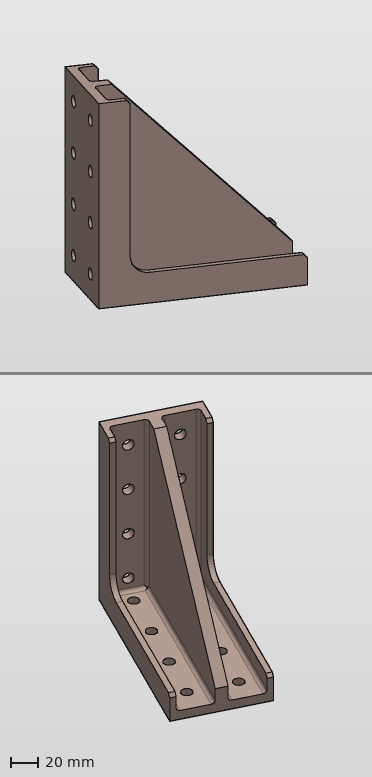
import cadquery as cq

width = 80.0
leg_length = 160.0
tip_height = 21.3

plate_thickness = 8.0
pocket_width = 30.0
pocket_fillet = 3.0

flange_depth = 24.0
flange_corner_radius = 15.0

hole_diameter = 9.0
hole_pitch = 40.0
hole_rows = 4

column_centers = (-hole_pitch / 2, hole_pitch / 2)
first_hole = (leg_length - (hole_rows - 1) * hole_pitch) / 2
row_centers = [first_hole + row * hole_pitch for row in range(hole_rows)]
flange_width = (width - hole_pitch - pocket_width) / 2


def triangular_body():
    """Solid gusset block with both plates on the Y = 0 and Z = 0 planes."""
    return (
        cq.Workplane("YZ")
        .moveTo(0, 0)
        .lineTo(leg_length, 0)
        .lineTo(leg_length, tip_height)
        .lineTo(tip_height, leg_length)
        .lineTo(0, leg_length)
        .close()
        .extrude(width / 2, both=True)
    )


def rounded_block(edge_direction):
    """Pocket-sized block whose edges along one direction are rounded."""
    return (
        cq.Workplane("XY")
        .box(pocket_width, leg_length, leg_length, centered=(True, False, False))
        .edges(edge_direction)
        .fillet(pocket_fillet)
    )


def pocket(x_center):
    """Block with rounded edges and mitred corners; it runs out past the leg tips."""
    block = rounded_block("|X").intersect(rounded_block("|Y")).intersect(rounded_block("|Z"))
    return block.translate((x_center, plate_thickness, plate_thickness))


def flange_cutout(side):
    """Block that lowers one outer flange (side is -1 or 1) to its L shape."""
    x_center = side * (width - flange_width) / 2
    return (
        cq.Workplane("XY")
        .box(flange_width, leg_length, leg_length, centered=(True, False, False))
        .edges("|X and <Y and <Z")
        .fillet(flange_corner_radius)
        .translate((x_center, flange_depth, flange_depth))
    )


def plate_holes(plane, direction):
    """Hole pattern through one plate, with rows measured from the bracket corner."""
    centers = [(x, row) for x in column_centers for row in row_centers]
    return (
        cq.Workplane(plane)
        .pushPoints(centers)
        .circle(hole_diameter / 2)
        .extrude(direction * plate_thickness)
    )


bracket = triangular_body()
for column in column_centers:
    bracket = bracket.cut(pocket(column))
for flange_side in (-1, 1):
    bracket = bracket.cut(flange_cutout(flange_side))
bracket = bracket.cut(plate_holes("XY", 1))
bracket = bracket.cut(plate_holes("XZ", -1))

result = bracket.translate((0, -leg_length / 2, -leg_length / 2))